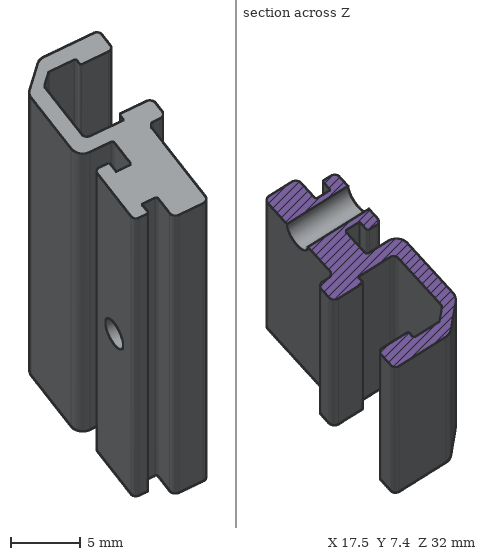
import cadquery as cq

length = 32.0
width = 17.5
depth = 7.4

channel_width = 9.2
left_wall = 1.38
right_wall = 1.25
floor_thickness = 1.35
lip_bottom = 4.6
left_lip_width = 2.0
right_lip_width = 1.9
outer_bevel = 2.35
inner_bevel = 0.95

plate_top = 5.95
plate_bottom = 2.95
rail_center = 13.5
neck_width = 3.52
foot_width = 5.45
foot_top = 1.65
foot_bottom = 0.4
hole_diameter = 2.45

tiny_radius = 0.1
small_radius = 0.15
edge_radius = 0.4
plate_radius = 0.48
inner_channel_radius = 0.4
outer_channel_radius = 1.0

inner_right = channel_width - right_wall
right_lip_left = channel_width - right_lip_width
neck_left = rail_center - neck_width / 2
neck_right = rail_center + neck_width / 2
foot_left = rail_center - foot_width / 2
foot_right = rail_center + foot_width / 2

channel_outside = [
    (0, depth, edge_radius),
    (0, outer_bevel, outer_channel_radius),
    (outer_bevel, 0, outer_channel_radius),
    (channel_width, 0, outer_channel_radius),
]
rail_and_plate = [
    (channel_width, plate_bottom, small_radius),
    (neck_left, plate_bottom, small_radius),
    (neck_left, foot_top, 0),
    (foot_left, foot_top, small_radius),
    (foot_left, foot_bottom, edge_radius),
    (foot_right, foot_bottom, edge_radius),
    (foot_right, foot_top, small_radius),
    (neck_right, foot_top, 0),
    (neck_right, plate_bottom, small_radius),
    (width, plate_bottom, plate_radius),
    (width, plate_top, plate_radius),
    (channel_width, plate_top, edge_radius),
]
channel_inside = [
    (channel_width, depth, plate_radius),
    (right_lip_left, depth, plate_radius),
    (right_lip_left, lip_bottom, small_radius),
    (inner_right, lip_bottom, 0),
    (inner_right, floor_thickness, inner_channel_radius),
    (left_wall + inner_bevel, floor_thickness, small_radius),
    (left_wall, floor_thickness + inner_bevel, small_radius),
    (left_wall, lip_bottom, small_radius),
    (left_lip_width, lip_bottom, tiny_radius),
    (left_lip_width, depth, edge_radius),
]


def extrude_profile(corners):
    """Extrude the outline and round the long edge at each corner."""
    body = cq.Workplane("XY").polyline([(x, y) for x, y, _ in corners]).close().extrude(length)
    for x, y, radius in corners:
        if radius > 0:
            edge = cq.selectors.NearestToPointSelector((x, y, length / 2))
            body = body.edges("|Z").edges(edge).fillet(radius)
    return body


def cross_hole():
    """Cylinder along Y through the rail and plate at mid length."""
    return (
        cq.Workplane("XZ", origin=(rail_center, 0, length / 2))
        .circle(hole_diameter / 2)
        .extrude(-depth)
    )


profile = extrude_profile(channel_outside + rail_and_plate + channel_inside)
result = profile.cut(cross_hole())